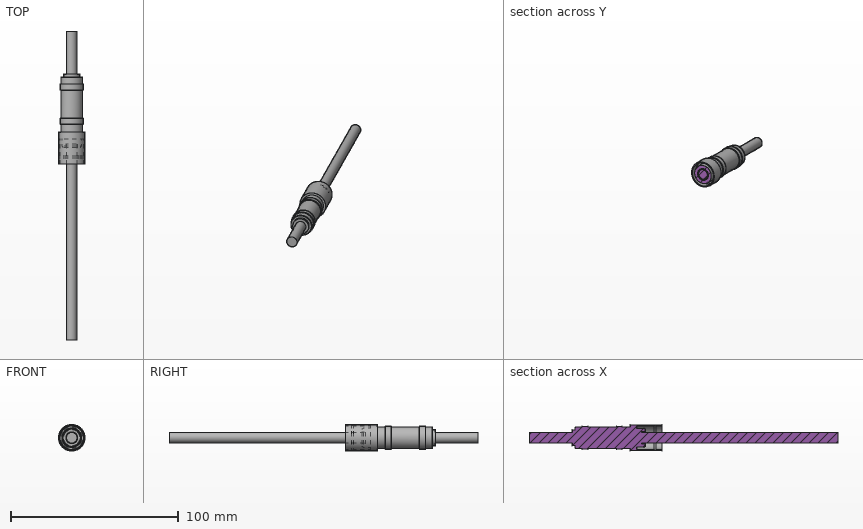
import cadquery as cq

total_length = 184.15
rear_end = total_length / 2
front_end = -total_length / 2

cable_diameter = 6.35
rear_cable_length = 25.4
front_cable_length = 105.0

plate_diameter = 9.7
plate_length = 1.7

body_diameter = 13.1
rear_section_diameter = 12.9
body_chamfer = 0.3

collar_diameter = 15.8
collar_length = 19.05
collar_bore_diameter = 14.0
collar_bore_depth = 15.0
bore_groove_diameter = 14.4
bore_groove_offset = 3.6
bore_groove_width = 1.2

nose_diameter = 11.6
nose_length = 5.0
nose_chamfer = 0.65
clearance_diameter = 7.0
clearance_depth = 2.0

band_diameter = 13.8
band_length = 3.8
band_chamfer = 0.4
rear_band_offset = 4.3
front_band_offset = 24.4
front_band_length = band_length + band_chamfer

plate_rear = rear_end - rear_cable_length
body_rear = plate_rear - plate_length
collar_front = front_end + front_cable_length
collar_rear = collar_front + collar_length
bore_floor = collar_front + collar_bore_depth


def cylinder(diameter, rear, front):
    """Round bar about the Y axis from the rear position to the front position."""
    plane = cq.Workplane("XZ", origin=(0, rear, 0))
    return plane.circle(diameter / 2).extrude(rear - front)


def rear_band():
    """Raised band with a chamfered front edge."""
    rear = body_rear - rear_band_offset
    ring = cylinder(band_diameter, rear, rear - band_length)
    return ring.faces("<Y").chamfer(band_chamfer)


def front_band():
    """Raised band with both edges chamfered."""
    rear = body_rear - front_band_offset
    ring = cylinder(band_diameter, rear, rear - front_band_length)
    return ring.faces("<Y or >Y").chamfer(band_chamfer)


def body():
    """Barrel with a slimmer chamfered rear section, its end plate and two raised bands."""
    barrel_rear = body_rear - rear_band_offset
    barrel = cylinder(body_diameter, barrel_rear, bore_floor)
    rear_section = cylinder(rear_section_diameter, body_rear, barrel_rear)
    rear_section = rear_section.faces(">Y").chamfer(body_chamfer)
    plate = cylinder(plate_diameter, plate_rear, body_rear)
    return barrel.union(rear_section).union(plate).union(rear_band()).union(front_band())


def collar():
    """Hollow collar with a grooved bore, open at the front."""
    sleeve = cylinder(collar_diameter, collar_rear, collar_front)
    sleeve = sleeve.cut(cylinder(collar_bore_diameter, bore_floor, collar_front))
    groove_front = collar_front + bore_groove_offset
    return sleeve.cut(cylinder(bore_groove_diameter, groove_front + bore_groove_width, groove_front))


def nose():
    """Chamfered plug nose inside the collar, relieved around the cable."""
    tip = bore_floor - nose_length
    plug = cylinder(nose_diameter, bore_floor, tip).faces("<Y").chamfer(nose_chamfer)
    return plug.cut(cylinder(clearance_diameter, tip + clearance_depth, tip))


cable = cylinder(cable_diameter, rear_end, front_end)
result = body().union(collar()).union(nose()).union(cable)